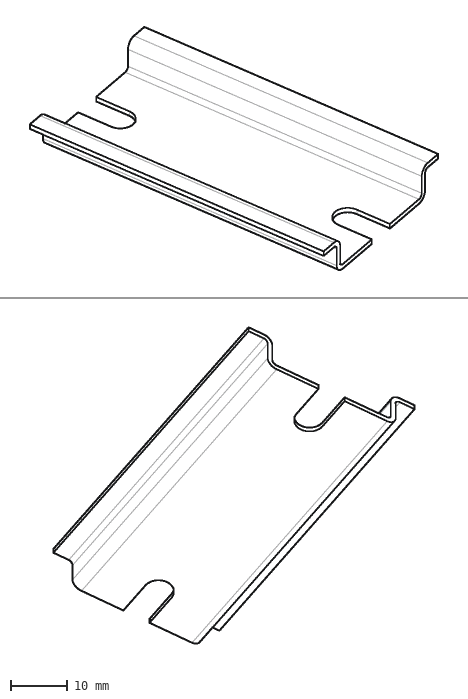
import cadquery as cq

length = 64.0
rail_width = 35.0
rail_height = 7.5
sheet = 1.0
channel_width = 27.0
inner_bend = 0.8
slot_width = 5.5
slot_depth = 10.0

outer_bend = inner_bend + sheet
half_rail = rail_width / 2
half_channel = channel_width / 2
half_inside = half_channel - sheet


def wall_edges(solid, y, z):
    """Select the long bend edges at +/-y and height z."""
    margin = 0.05
    edges = solid.edges("|X")
    selected = None
    for side in (-1, 1):
        box = cq.selectors.BoxSelector(
            (-length, side * y - margin, z - margin),
            (length, side * y + margin, z + margin),
        )
        found = edges.edges(box)
        selected = found if selected is None else selected.add(found)
    return selected


def make_rail():
    """Extrude the sharp-cornered sheet profile, then round its four bends."""
    profile = [
        (-half_rail, rail_height),
        (-half_inside, rail_height),
        (-half_inside, sheet),
        (half_inside, sheet),
        (half_inside, rail_height),
        (half_rail, rail_height),
        (half_rail, rail_height - sheet),
        (half_channel, rail_height - sheet),
        (half_channel, 0),
        (-half_channel, 0),
        (-half_channel, rail_height - sheet),
        (-half_rail, rail_height - sheet),
    ]
    rail = cq.Workplane("YZ").polyline(profile).close().extrude(length / 2, both=True)
    bends = [
        (half_inside, rail_height, outer_bend),
        (half_inside, sheet, inner_bend),
        (half_channel, rail_height - sheet, inner_bend),
        (half_channel, 0, outer_bend),
    ]
    for y, z, radius in bends:
        rail = wall_edges(rail, y, z).fillet(radius)
    return rail


def end_slots():
    """Round-ended slots through the floor, open at both ends of the rail."""
    return (
        cq.Workplane("XY")
        .pushPoints([(-length / 2, 0), (length / 2, 0)])
        .slot2D(2 * slot_depth, slot_width)
        .extrude(sheet)
    )


result = make_rail().cut(end_slots())